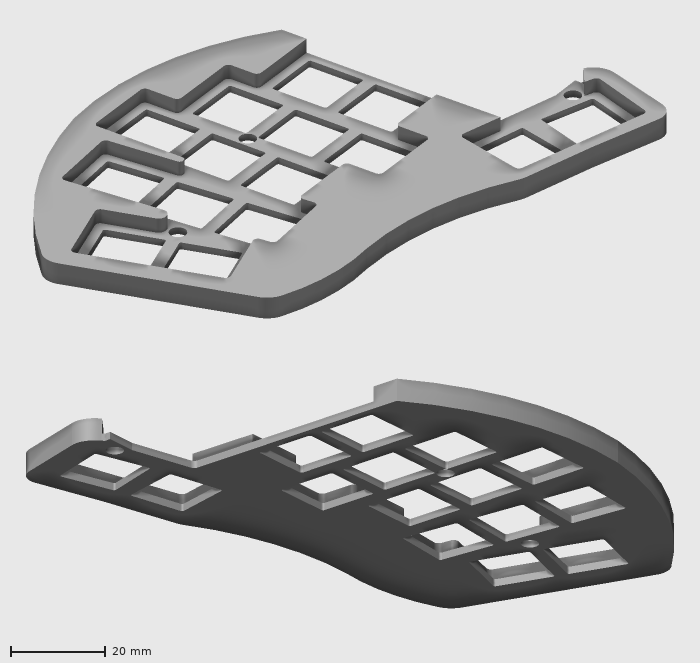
import cadquery as cq
import math

HEIGHT = 5.1
FLOOR = 1.7
HOLE_DIAMETER = 4.0
HOLE_CENTRES = [(-23.2, 10.5), (-25.6, -30.3), (37.0, 48.5)]

KEY_SIZE = 14.0
KEY_PITCH = 17.0
KEY_CORNER = 0.5
KEY_MARGIN = 2.3
RECESS_SIZE = KEY_SIZE + 2 * KEY_MARGIN
RECESS_CORNER = 1.2

UPPER_TILT = -17
FIRST_KEY = (-15.9, 36.2)
ROW_SPACING = 18.1
SECOND_ROW_SHIFT = -8.0
THIRD_ROW_SHIFT = -9.0

FOURTH_ROW_KEY = (-43.3, -15.6)
FOURTH_ROW_TILT = -12
BOTTOM_ROW_KEY = (-34.0, -41.1)
THUMB_KEYS = [((43.2, 38.9), -34.5), ((33.4, 23.1), -30)]

FINGERS = [
    ((-31.6, -7.0), -14.5, 25.1, 3.6, 0.8),
    ((-28.3, -30.2), -6, 19.2, 5.3, 1.8),
]
CORNER_REACH = 0.6
TIP_REACH = 3.0
EDGE_OVERRUN = 3.6


def shifted(point, tilt, along, across):
    """Move a point along and across a direction tilted from X."""
    angle = math.radians(tilt)
    x = point[0] + along * math.cos(angle) - across * math.sin(angle)
    y = point[1] + along * math.sin(angle) + across * math.cos(angle)
    return (x, y)


SECOND_ROW_KEY = shifted(FIRST_KEY, UPPER_TILT, SECOND_ROW_SHIFT, -ROW_SPACING)
THIRD_ROW_KEY = shifted(SECOND_ROW_KEY, UPPER_TILT, THIRD_ROW_SHIFT, -ROW_SPACING)

ROWS = [
    (FIRST_KEY, UPPER_TILT, 2),
    (SECOND_ROW_KEY, UPPER_TILT, 3),
    (THIRD_ROW_KEY, UPPER_TILT, 3),
    (FOURTH_ROW_KEY, FOURTH_ROW_TILT, 3),
    (BOTTOM_ROW_KEY, 0, 2),
]


def tilted_block(centre, tilt, length, width, bottom):
    """Block from the given level up to the top face, tilted about Z."""
    block = cq.Workplane("XY").rect(length, width).extrude(HEIGHT - bottom)
    return block.rotate((0, 0, 0), (0, 0, 1), tilt).translate((centre[0], centre[1], bottom))


def polygon_block(points):
    """Prism over a polygon, from the recess floor to the top face."""
    return cq.Workplane("XY").workplane(offset=FLOOR).polyline(points).close().extrude(HEIGHT - FLOOR)


def edges_near(solid, point, reach):
    """Upright edges within a square around a point."""
    low = (point[0] - reach, point[1] - reach, -HEIGHT)
    high = (point[0] + reach, point[1] + reach, 2 * HEIGHT)
    return solid.edges("|Z").edges(cq.selectors.BoxSelector(low, high))


def away_from_tips(edge):
    """True for an edge that does not belong to a finger tip."""
    centre = edge.Center()
    return all(math.dist((centre.x, centre.y), finger[0]) > TIP_REACH for finger in FINGERS)


def plate():
    """Solid plate with the outer contour: palm area and thumb arm."""
    bottom_edge = -55.5
    left_foot = (-47.2, bottom_edge)
    right_foot = (3.1, bottom_edge)
    inner_corner = (25.0, 33.3)
    arm_root = (39.0, 7.5)
    thumb_tip = (35.5, 54.5)
    thumb_right = (61.4, 43.1)
    outline = (
        cq.Workplane("XY")
        .moveTo(*left_foot)
        .lineTo(*right_foot)
        .threePointArc((11.6, -43.5), (16.3, -29.6))
        .threePointArc((24.7, -9.6), arm_root)
        .lineTo(49.1, 24.3)
        .lineTo(*thumb_right)
        .lineTo(44.3, 54.6)
        .threePointArc((41.1, 55.5), (37.6, 54.4))
        .lineTo(36.9, 54.0)
        .lineTo(*thumb_tip)
        .lineTo(33.5, 47.4)
        .lineTo(*inner_corner)
        .lineTo(-28.3, 49.6)
        .threePointArc((-49.2, 27.5), (-59.1, 1.7))
        .threePointArc((-58.2, -27.5), left_foot)
        .close()
    )
    body = outline.extrude(HEIGHT)
    rounds = [
        (left_foot, 5.0),
        (right_foot, 6.0),
        (arm_root, 7.2),
        (thumb_right, 4.3),
        (inner_corner, 1.2),
    ]
    for corner, radius in rounds:
        body = edges_near(body, corner, CORNER_REACH).fillet(radius)
    return body


def row_recess(first_key, tilt, count):
    """Recess around one row of keys."""
    span = (count - 1) * KEY_PITCH
    centre = shifted(first_key, tilt, span / 2, 0)
    return tilted_block(centre, tilt, span + RECESS_SIZE, RECESS_SIZE, FLOOR)


def main_recess():
    """Joined recess of the five rows, with two round-ended fingers left between them."""
    past_edge = shifted(FIRST_KEY, UPPER_TILT, 0, EDGE_OVERRUN)
    recess = row_recess(past_edge, *ROWS[0][1:])
    for row in ROWS:
        recess = recess.union(row_recess(*row))
    for tip, tilt, length, width, _ in FINGERS:
        bridge = tilted_block(shifted(tip, tilt, length / 2, 0), tilt, length, width, FLOOR)
        recess = recess.union(bridge)
    recess = recess.edges("|Z").filter(away_from_tips).fillet(RECESS_CORNER)
    for tip, _, _, _, tip_round in FINGERS:
        recess = edges_near(recess, tip, TIP_REACH).fillet(tip_round)
    return recess


def thumb_recess():
    """Recess round the thumb keys and the strip that joins it to the first row, open along the outer edge."""
    strip_end = (11.0, 34.6)
    strip_corner = (26.8, 29.9)
    inner_corner = (20.8, 20.1)
    low_corner = (37.0, 10.8)
    far_corner = (55.9, 41.4)
    top_corner = (41.4, 51.7)
    tip_wall_start = (39.4, 49.0)
    tip_wall_end = (37.2, 55.1)
    recess = polygon_block([
        strip_end,
        strip_corner,
        inner_corner,
        low_corner,
        far_corner,
        top_corner,
        tip_wall_start,
        tip_wall_end,
        (strip_end[0], tip_wall_end[1]),
    ])
    for corner in [inner_corner, low_corner, far_corner, top_corner]:
        recess = edges_near(recess, corner, CORNER_REACH).fillet(RECESS_CORNER)
    return recess


def key_places():
    """Centre and tilt of every key."""
    places = list(THUMB_KEYS)
    for first_key, tilt, count in ROWS:
        for index in range(count):
            places.append((shifted(first_key, tilt, index * KEY_PITCH, 0), tilt))
    return places


def key_opening(centre, tilt):
    """Through opening for one key, with rounded corners."""
    return tilted_block(centre, tilt, KEY_SIZE, KEY_SIZE, 0).edges("|Z").fillet(KEY_CORNER)


def screw_holes():
    """Round through holes in the recess floor."""
    return cq.Workplane("XY").pushPoints(HOLE_CENTRES).circle(HOLE_DIAMETER / 2).extrude(HEIGHT)


result = plate().cut(main_recess()).cut(thumb_recess()).cut(screw_holes())
for key_centre, key_tilt in key_places():
    result = result.cut(key_opening(key_centre, key_tilt))